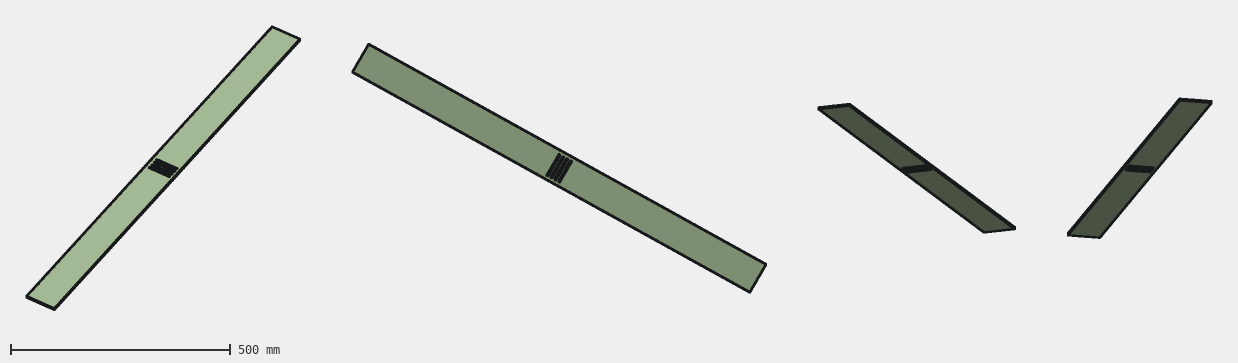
import cadquery as cq

width = 75.0
length = 1040.0
thickness = 4.5

slot_count = 4
slot_length = 56.0
slot_width = 3.5
slot_depth = 2.0
slot_pitch = 10.1


def make_strip():
    """Plain rectangular strip centred on the origin."""
    return cq.Workplane("XY").box(width, length, thickness)


def make_slots():
    """Row of rectangular slots along Y, rising from the underside."""
    return (
        cq.Workplane("XY", origin=(0, 0, -thickness / 2))
        .rarray(slot_pitch, slot_pitch, 1, slot_count)
        .rect(slot_length, slot_width)
        .extrude(slot_depth)
    )


result = make_strip().cut(make_slots())